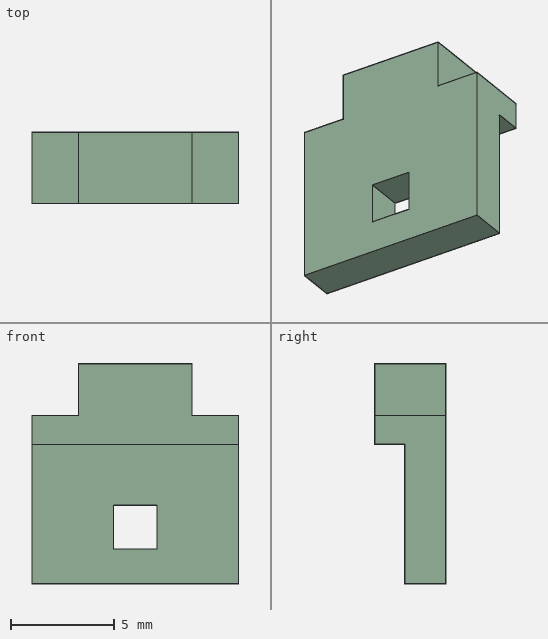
import cadquery as cq

width = 10.0
depth = 3.45

plate_height = 6.75
flange_height = 1.4
tab_height = 2.5

plate_thickness = 2.0
tab_width = 5.5

window_size = 2.1
window_bottom = 1.7

back_y = depth / 2


def back_aligned_block(size_x, size_y, size_z, bottom_z):
    """Block centred on X whose rear face lies on the back plane."""
    return (
        cq.Workplane("XY")
        .box(size_x, size_y, size_z, centered=(True, True, False))
        .translate((0, back_y - size_y / 2, bottom_z))
    )


plate = back_aligned_block(width, plate_thickness, plate_height, 0)
flange = back_aligned_block(width, depth, flange_height, plate_height)
tab = back_aligned_block(tab_width, depth, tab_height, plate_height + flange_height)
window = back_aligned_block(window_size, plate_thickness, window_size, window_bottom)

result = plate.union(flange).union(tab).cut(window).clean()